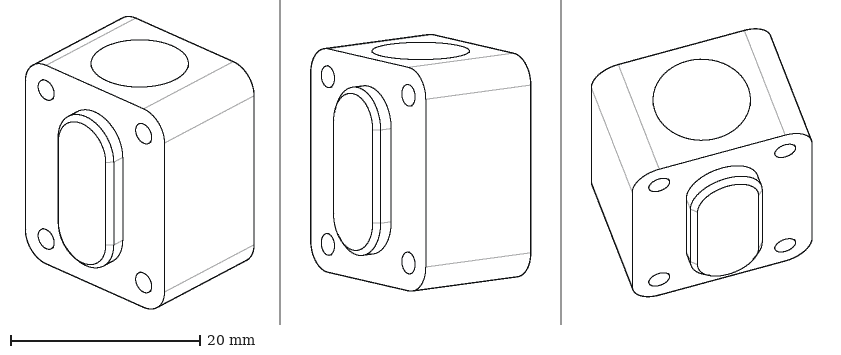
import cadquery as cq

width = 20.0
height = 24.0
block_depth = 14.0
corner_radius = 3.0

total_depth = 18.0
pad_width = 8.0
pad_height = 18.0
pad_chamfer = 0.6

hole_diameter = 2.3
hole_spacing_x = width - 2 * corner_radius
hole_spacing_z = height - 2 * corner_radius

bore_diameter = 10.3
bore_depth = height - corner_radius


def make_block():
    """Rounded rectangle in XZ, centred along Y."""
    block = cq.Workplane("XZ").rect(width, height).extrude(block_depth / 2, both=True)
    return block.edges("|Y").fillet(corner_radius)


def make_pads():
    """One oblong bar through the block, leaving a chamfered pad at each end."""
    bar = cq.Workplane("XZ").slot2D(pad_height, pad_width, 90).extrude(total_depth / 2, both=True)
    return bar.faces("<Y or >Y").chamfer(pad_chamfer)


def make_mounting_holes():
    """Four through holes along Y."""
    return (
        cq.Workplane("XZ")
        .rect(hole_spacing_x, hole_spacing_z, forConstruction=True)
        .vertices()
        .circle(hole_diameter / 2)
        .extrude(block_depth, both=True)
    )


def make_bore():
    """Flat-bottomed cylinder reaching down from the top face."""
    top = cq.Workplane("XY").workplane(offset=height / 2)
    return top.circle(bore_diameter / 2).extrude(-bore_depth)


result = make_block().union(make_pads()).cut(make_mounting_holes()).cut(make_bore())